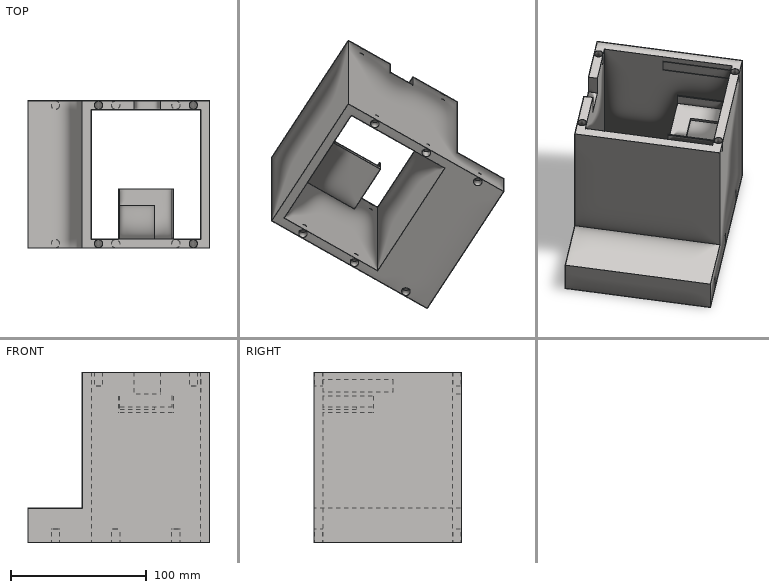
import cadquery as cq

length = 134.1
depth = 108.8
height = 125.5

step_length = 40.1
step_height = 25.5
wall = 6.7
inner_left = step_length + wall
inner_right = length - wall

notch_left = 78.3
notch_right = 97.8
notch_drop = 16.1

hole_depth = 10.0
hole_edge_distance = wall / 2
top_hole_diameter = 6.0
bottom_hole_diameter = 6.2
top_hole_x = (52.2, 122.0)
bottom_hole_x = (20.4, 64.8, 109.2)

tray_left = 66.8
tray_right = 107.4
tray_back = 43.7
tray_rim = 1.0
tray_top = 108.0
tray_floor = 100.0
tray_thickness = 4.0
pocket_right = 93.5
pocket_back = 31.5
pocket_depth = 2.0

recess_back = 58.3
recess_top = height - 5.2
recess_height = 9.1
recess_depth = 0.4


def box(x0, x1, y0, y1, z0, z1):
    """Box between the given limits."""
    return cq.Workplane("XY").box(x1 - x0, y1 - y0, z1 - z0, centered=False).translate((x0, y0, z0))


def wall_holes(x_positions, diameter, z_start):
    """Vertical hole cutters, along both the front and the rear wall."""
    points = []
    for x in x_positions:
        points.append((x, hole_edge_distance))
        points.append((x, depth - hole_edge_distance))
    return cq.Workplane("XY", origin=(0, 0, z_start)).pushPoints(points).circle(diameter / 2).extrude(hole_depth)


def make_body():
    """Step and tower, with the tower open from top to bottom."""
    step = box(0, step_length, 0, depth, 0, step_height)
    tower = box(step_length, length, 0, depth, 0, height)
    opening = box(inner_left, inner_right, wall, depth - wall, 0, height)
    return step.union(tower).cut(opening)


def make_tray():
    """Tray with a low rim on two sides and a rectangular pocket in its floor."""
    inside_left = tray_left + tray_rim
    inside_right = tray_right - tray_rim
    block = box(tray_left, tray_right, wall / 2, tray_back, tray_floor - tray_thickness, tray_top)
    channel = box(inside_left, inside_right, wall, tray_back, tray_floor, tray_top)
    pocket = box(inside_left, pocket_right, wall, pocket_back, tray_floor - pocket_depth, tray_floor)
    return block.cut(channel).cut(pocket)


notch = box(notch_left, notch_right, depth - wall, depth, height - notch_drop, height)
recess = box(
    inner_right, inner_right + recess_depth, wall, recess_back, recess_top - recess_height, recess_top
)

result = make_body().union(make_tray()).cut(notch).cut(recess)
result = result.cut(wall_holes(top_hole_x, top_hole_diameter, height - hole_depth))
result = result.cut(wall_holes(bottom_hole_x, bottom_hole_diameter, 0))